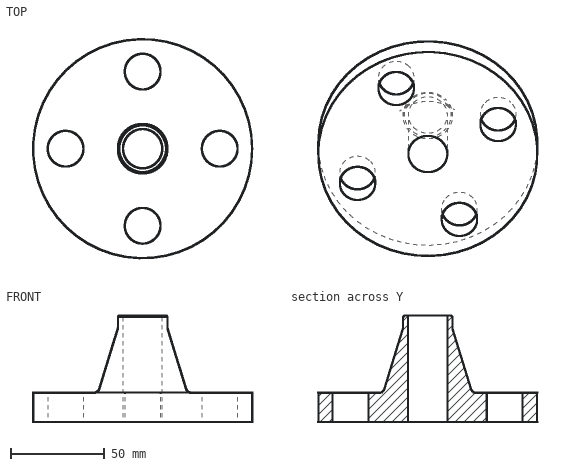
import cadquery as cq

flange_diameter = 117.3
flange_thickness = 15.7
total_height = 57.1

bolt_hole_count = 4
bolt_hole_diameter = 19.0
bolt_circle_diameter = 82.5

hub_base_diameter = 47.9
hub_base_fillet = 2.9
neck_diameter = 26.6
neck_length = 6.9
neck_chamfer = 0.8
bore_diameter = 20.9


def make_body():
    """Revolve the half profile of the plate, tapered hub and straight neck about Z."""
    return (
        cq.Workplane("XZ")
        .moveTo(0, 0)
        .lineTo(flange_diameter / 2, 0)
        .lineTo(flange_diameter / 2, flange_thickness)
        .lineTo(hub_base_diameter / 2, flange_thickness)
        .lineTo(neck_diameter / 2, total_height - neck_length)
        .lineTo(neck_diameter / 2, total_height)
        .lineTo(0, total_height)
        .close()
        .revolve(360, (0, 0, 0), (0, 1, 0))
    )


def finish_hub_edges(body):
    """Fillet the foot of the hub and chamfer the outer rim of the neck."""
    hub_foot = cq.selectors.RadiusNthSelector(1)
    body = body.edges("%CIRCLE").edges(hub_foot).fillet(hub_base_fillet)
    return body.faces(">Z").edges().chamfer(neck_chamfer)


def cut_bore(body):
    """Cut the central bore through the whole height."""
    return body.cut(cq.Workplane("XY").circle(bore_diameter / 2).extrude(total_height))


def cut_bolt_holes(body):
    """Cut the bolt holes through the plate, the first one on the X axis."""
    holes = (
        cq.Workplane("XY")
        .polarArray(bolt_circle_diameter / 2, 0, 360, bolt_hole_count)
        .circle(bolt_hole_diameter / 2)
        .extrude(flange_thickness)
    )
    return body.cut(holes)


result = cut_bolt_holes(cut_bore(finish_hub_edges(make_body())))